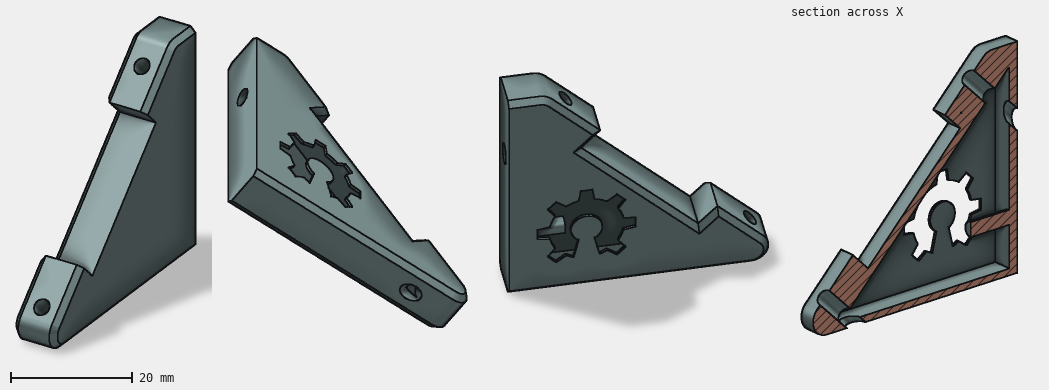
import cadquery as cq
import math

thickness = 8.0
length = 43.75
height = 41.5
corner_radius = 3.0
edge_chamfer = 1.0
mid_x = thickness / 2
slope_sum = length + corner_radius * math.sqrt(2)

notch_top_z = 32.5
notch_bottom_z = 12.8
notch_drop = 3.25

screw_diameter = 2.8
screw_heights = (37.75, 6.8)
screw_reach = length

skin = 0.5
cavity_end_x = 6.0
cavity_back = 1.75
cavity_base = 1.3
cavity_base_chamfer = 1.65
cavity_slope_wall = 1.75
cavity_slope_sum = slope_sum - 2 * notch_drop - cavity_slope_wall * math.sqrt(2)

rod_diameter = 2.8
rod_z = 10.45
rod_end = 9.98

gear_back_distance = 13.05
gear_z = 12.45
gear_root_diameter = 12.6
gear_hub_diameter = 5.3
gear_tip_radius = 8.22
tooth_tip_half = 1.0
tooth_root_half = 1.3
gear_pitches = 8
mouth_inner_half = 1.3
mouth_outer_half = 2.2


def side_plane(x=0.0):
    """Plane across the thickness: local x runs away from the back (-Y), local y is Z, normal is -X."""
    return cq.Workplane(cq.Plane(origin=(x, 0, 0), xDir=(0, -1, 0), normal=(-1, 0, 0)))


def prism(points, x_start, x_end):
    return side_plane(x_start).polyline(points).close().extrude(x_start - x_end)


def disc(diameter, x_start, x_end):
    return (
        side_plane(x_start)
        .center(gear_back_distance, gear_z)
        .circle(diameter / 2)
        .extrude(x_start - x_end)
    )


def chamfer_rim(solid, face):
    """Chamfer the rim of a side face, leaving its edge on the back face sharp."""
    rim = solid.faces(face).edges().edges(cq.selectors.BoxSelector(
        (-thickness, -2 * length, -height),
        (2 * thickness, -edge_chamfer / 2, 2 * height),
    ))
    return rim.chamfer(edge_chamfer)


def make_body():
    outline = [(0, 0), (slope_sum, 0), (slope_sum - height, height), (0, height)]
    body = prism(outline, 0, thickness)
    body = body.edges("|X").edges("<Y or (>Z and (not >Y))").fillet(corner_radius)
    body = chamfer_rim(body, ">X")
    top_d = slope_sum - notch_top_z
    bottom_d = slope_sum - notch_bottom_z
    notch = prism(
        [
            (top_d - notch_drop, notch_top_z - notch_drop),
            (bottom_d - notch_drop, notch_bottom_z - notch_drop),
            (bottom_d + notch_drop, notch_bottom_z + notch_drop),
            (top_d + notch_drop, notch_top_z + notch_drop),
        ],
        0,
        thickness,
    )
    return chamfer_rim(body.cut(notch), "<X")


def make_screw_hole(z):
    into_body = cq.Plane(origin=(mid_x, z - slope_sum, z), xDir=(1, 0, 0), normal=(0, 1, -1))
    return cq.Workplane(into_body).circle(screw_diameter / 2).extrude(screw_reach)


def make_cavity():
    cavity = prism(
        [
            (cavity_back, cavity_base),
            (cavity_slope_sum - cavity_base, cavity_base),
            (cavity_back, cavity_slope_sum - cavity_back),
        ],
        skin,
        cavity_end_x,
    )
    cavity = cavity.edges("|Y and >X").chamfer(cavity_base_chamfer)
    back = cq.Plane(origin=(mid_x, 0, rod_z), xDir=(1, 0, 0), normal=(0, -1, 0))
    rod = cq.Workplane(back).circle(rod_diameter / 2).extrude(rod_end)
    return cavity.cut(rod)


def make_gear_window():
    root_radius = gear_root_diameter / 2
    hub_radius = gear_hub_diameter / 2
    root_chord = math.sqrt(root_radius**2 - tooth_root_half**2)
    gear = disc(gear_root_diameter, 0, skin)
    tooth_outline = [
        (-tooth_root_half, 0),
        (tooth_root_half, 0),
        (tooth_root_half, root_chord),
        (tooth_tip_half, gear_tip_radius),
        (-tooth_tip_half, gear_tip_radius),
        (-tooth_root_half, root_chord),
    ]
    tooth = side_plane().center(gear_back_distance, gear_z).polyline(tooth_outline).close().extrude(-skin)
    axis_start = (0, -gear_back_distance, gear_z)
    axis_end = (1, -gear_back_distance, gear_z)
    for pitch in range(gear_pitches):
        if pitch != gear_pitches // 2:
            gear = gear.union(tooth.rotate(axis_start, axis_end, pitch * 360 / gear_pitches))

    mouth_inner = math.sqrt(hub_radius**2 - mouth_inner_half**2)
    mouth_outer = math.sqrt(root_radius**2 - mouth_outer_half**2)
    mouth_outline = [
        (-mouth_inner_half, gear_z - mouth_inner),
        (mouth_inner_half, gear_z - mouth_inner),
        (mouth_outer_half, gear_z - mouth_outer),
        (mouth_outer_half, gear_z - root_radius),
        (-mouth_outer_half, gear_z - root_radius),
        (-mouth_outer_half, gear_z - mouth_outer),
    ]
    mouth = prism([(gear_back_distance + d, z) for d, z in mouth_outline], 0, skin)
    return gear.cut(disc(gear_hub_diameter, 0, skin)).cut(mouth)


result = make_body()
for screw_z in screw_heights:
    result = result.cut(make_screw_hole(screw_z))
result = result.cut(make_cavity()).cut(make_gear_window())